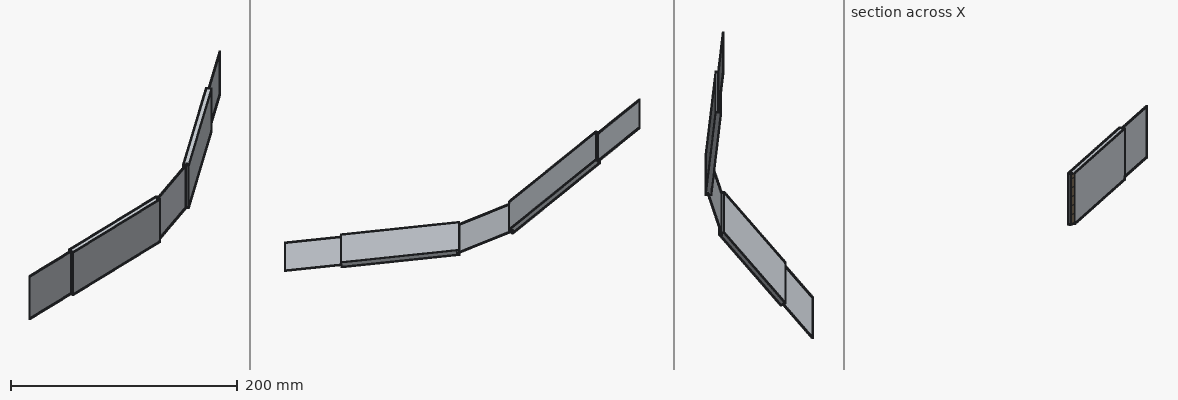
import cadquery as cq
import math

overall_length = 328.0
height = 50.0
panel_length = 105.0
panel_thickness = 5.0
sheet_thickness = 0.43
key_length = 2.0
bend_angle = 18.0

lower_heading = 0.0
middle_heading = lower_heading + bend_angle
upper_heading = middle_heading + bend_angle

middle_cos = math.cos(math.radians(middle_heading))
upper_cos = math.cos(math.radians(upper_heading))
upper_sin = math.sin(math.radians(upper_heading))
panel_span = panel_length * (1 + upper_cos)
end_corner_rise = sheet_thickness / 2 * upper_sin
sheet_length = (overall_length - panel_span - end_corner_rise) / (1 + middle_cos + upper_cos)


def advance(point, heading, distance):
    """Point reached by moving along a heading in the XY plane."""
    angle = math.radians(heading)
    return (point[0] - distance * math.sin(angle), point[1] + distance * math.cos(angle))


def make_slab(start, heading, length, thickness):
    """Upright slab whose centre plane runs from a start point along a heading."""
    return (
        cq.Workplane("XY")
        .box(thickness, length, height, centered=(True, False, True))
        .rotate((0, 0, 0), (0, 0, 1), heading)
        .translate((start[0], start[1], 0))
    )


lower_end = (0.0, 0.0)
lower_panel_start = advance(lower_end, lower_heading, sheet_length)
middle_start = advance(lower_panel_start, lower_heading, panel_length)
upper_panel_start = advance(middle_start, middle_heading, sheet_length)
upper_start = advance(upper_panel_start, upper_heading, panel_length)

lower_sheet = make_slab(lower_end, lower_heading, sheet_length, sheet_thickness)
upper_sheet = make_slab(upper_start, upper_heading, sheet_length, sheet_thickness)

lower_key_start = advance(middle_start, middle_heading, -key_length)
middle_strip = make_slab(
    lower_key_start, middle_heading, sheet_length + 2 * key_length, sheet_thickness
)
middle_sheet = middle_strip

panels = []
keys = []
for start, heading in (
    (lower_panel_start, lower_heading),
    (upper_panel_start, upper_heading),
):
    full_panel = make_slab(start, heading, panel_length, panel_thickness)
    key = full_panel.intersect(middle_strip)
    middle_sheet = middle_sheet.cut(full_panel)
    keys.append(key.val())
    panels.append(full_panel.cut(key).val())

result = cq.Compound.makeCompound(
    [
        lower_sheet.val(),
        middle_sheet.val(),
        upper_sheet.val(),
        *keys,
        *panels,
    ]
)